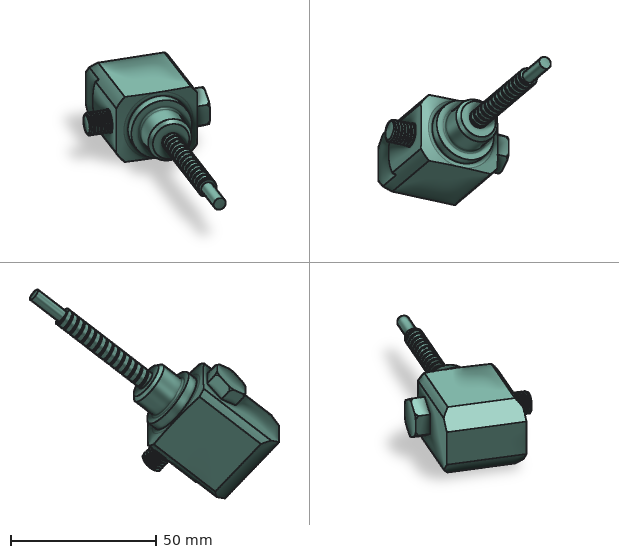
import cadquery as cq
import math


housing_length = 34.6
housing_height = 25.1
housing_half_depth = 14.4
side_round_radius = 17.4
rear_chamfer = 6.3
end_bevel_depth = 0.4
end_face_diameter = housing_height

pad_thickness = 0.8
pad_rear_x = 9.6
pad_arc_radius = 14.4

flange_diameter = 22.1
flange_end_x = 38.2
boss_diameter = 15.8
boss_end_x = 48.1
boss_chamfer = 1.3
boss_root_radius = 0.7

conduit_diameter = 6.6
conduit_end_x = 86.2
conduit_turns = 14.5
conduit_groove_width = 0.6
conduit_groove_root_diameter = 5.8
conduit_groove_offset = 0.7
cable_diameter = 4.5
cable_end_x = 99.0

bolt_x = 26.2
bolt_hole_diameter = 8.4
bolt_diameter = 8.0
bolt_tip_y = -23.3
bolt_tip_chamfer = 0.5
head_flats = 13.0
head_height = 5.2
head_face_diameter = 13.9
head_chamfer_angle = 60.0

thread_length = 10.0
thread_turns = 8
thread_pitch = thread_length / thread_turns
thread_root_diameter = 6.6
thread_root_width = 0.2
thread_mouth_width = 1.0
thread_start_offset = 0.5

overcut = 0.5


def helical_groove(root_radius, outer_radius, root_width, mouth_width, pitch, length):
    """Right-handed helical cutter along +Z that starts on the +X side at Z = 0."""
    flank_slope = (mouth_width - root_width) / (outer_radius - root_radius)
    cutter_radius = outer_radius + overcut
    cutter_width = mouth_width + flank_slope * overcut
    path = cq.Wire.makeHelix(pitch, length, root_radius)
    profile = cq.Workplane("XZ").polyline([
        (root_radius, -root_width / 2),
        (cutter_radius, -cutter_width / 2),
        (cutter_radius, cutter_width / 2),
        (root_radius, root_width / 2),
    ]).close()
    return profile.sweep(path, isFrenet=True)


def cylinder_along_x(diameter, start_x, end_x):
    return cq.Workplane("YZ", origin=(start_x, 0, 0)).circle(diameter / 2).extrude(end_x - start_x)


def make_block():
    """Block with a mounting pad, chamfered rear edges and rounded long edges."""
    pad_y = -housing_half_depth - pad_thickness
    block_depth = housing_half_depth - pad_y
    block = (
        cq.Workplane("XY")
        .box(housing_length, block_depth, housing_height, centered=(False, False, True))
        .translate((0, pad_y, 0))
        .edges("<X and |Y").chamfer(rear_chamfer)
    )
    return block.intersect(make_round_envelope()).cut(make_pad_relief())


def make_round_envelope():
    """Cylinder around the X axis that rounds the long edges, with a shallow cone at its +X end."""
    return (
        cq.Workplane("XY")
        .polyline([
            (0, 0),
            (housing_length, 0),
            (housing_length, end_face_diameter / 2),
            (housing_length - end_bevel_depth, side_round_radius),
            (0, side_round_radius),
        ])
        .close()
        .revolve(360, (0, 0, 0), (1, 0, 0))
    )


def make_pad_relief():
    """Volume in front of the -Y face that leaves the pad with its curved rear edge."""
    arc_center_x = pad_rear_x + pad_arc_radius
    relief = (
        cq.Workplane("XZ", origin=(0, -housing_half_depth, 0))
        .rect(2 * arc_center_x, 2 * housing_height)
        .extrude(2 * pad_thickness)
    )
    pad_disc = (
        cq.Workplane("XZ", origin=(arc_center_x, -housing_half_depth, 0))
        .circle(pad_arc_radius)
        .extrude(2 * pad_thickness)
    )
    return relief.cut(pad_disc)


def make_boss():
    """Flange and chamfered boss, with a small fillet where they meet."""
    boss = cylinder_along_x(boss_diameter, housing_length, boss_end_x).faces(">X").chamfer(boss_chamfer)
    boss = boss.union(cylinder_along_x(flange_diameter, housing_length, flange_end_x))
    boss_circles = boss.edges(cq.selectors.RadiusNthSelector(1))
    return boss_circles.edges("<X").fillet(boss_root_radius)


def make_conduit():
    """Armoured conduit with one helical groove from end to end."""
    conduit_pitch = (conduit_end_x - boss_end_x) / conduit_turns
    conduit = cylinder_along_x(conduit_diameter, boss_end_x, conduit_end_x)
    groove = helical_groove(
        conduit_groove_root_diameter / 2,
        conduit_diameter / 2,
        conduit_groove_width,
        conduit_groove_width,
        conduit_pitch,
        conduit_end_x - boss_end_x + 2 * conduit_pitch,
    )
    groove = groove.rotate((0, 0, 0), (0, 0, 1), 90).rotate((0, 0, 0), (0, 1, 0), 90)
    return conduit.cut(groove.translate((boss_end_x - conduit_groove_offset, 0, 0)))


def make_bolt_hole():
    return (
        cq.Workplane("XZ", origin=(bolt_x, 0, 0))
        .circle(bolt_hole_diameter / 2)
        .extrude(2 * housing_half_depth, both=True)
    )


def make_sensor():
    cable = cylinder_along_x(cable_diameter, boss_end_x, cable_end_x)
    block = make_block().cut(make_bolt_hole())
    return block.union(make_boss()).union(make_conduit()).union(cable)


def make_bolt_head():
    """Hexagon head with corners at +Z and -Z and chamfered corners on its outer face."""
    corner_diameter = head_flats / math.cos(math.radians(30))
    head = (
        cq.Workplane("XY")
        .polygon(6, corner_diameter)
        .extrude(head_height)
        .rotate((0, 0, 0), (0, 0, 1), 90)
    )
    face_radius = head_face_diameter / 2
    base_radius = face_radius + head_height / math.tan(math.radians(head_chamfer_angle))
    chamfer_cone = (
        cq.Workplane("XZ")
        .polyline([(0, 0), (base_radius, 0), (face_radius, head_height), (0, head_height)])
        .close()
        .revolve(360, (0, 0, 0), (0, 1, 0))
    )
    return head.intersect(chamfer_cone)


def make_bolt():
    """Bolt built along Z with its head seat at Z = 0, then turned along Y."""
    shank_length = housing_half_depth - bolt_tip_y
    tip_inset = (bolt_diameter - thread_root_diameter) / 2
    shank = (
        cq.Workplane("XY")
        .circle(bolt_diameter / 2)
        .extrude(-shank_length)
        .faces("<Z").chamfer(bolt_tip_chamfer, tip_inset)
    )
    groove = helical_groove(
        thread_root_diameter / 2,
        bolt_diameter / 2,
        thread_root_width,
        thread_mouth_width,
        thread_pitch,
        thread_length + thread_pitch,
    )
    groove = groove.rotate((0, 0, 0), (0, 0, 1), -90)
    groove_start = -shank_length + thread_start_offset - thread_pitch
    shank = shank.cut(groove.translate((0, 0, groove_start)))
    bolt = shank.union(make_bolt_head())
    return bolt.rotate((0, 0, 0), (1, 0, 0), -90).translate((bolt_x, housing_half_depth, 0))


sensor = make_sensor()
bolt = make_bolt()
result = cq.Compound.makeCompound([*sensor.solids().vals(), *bolt.solids().vals()])